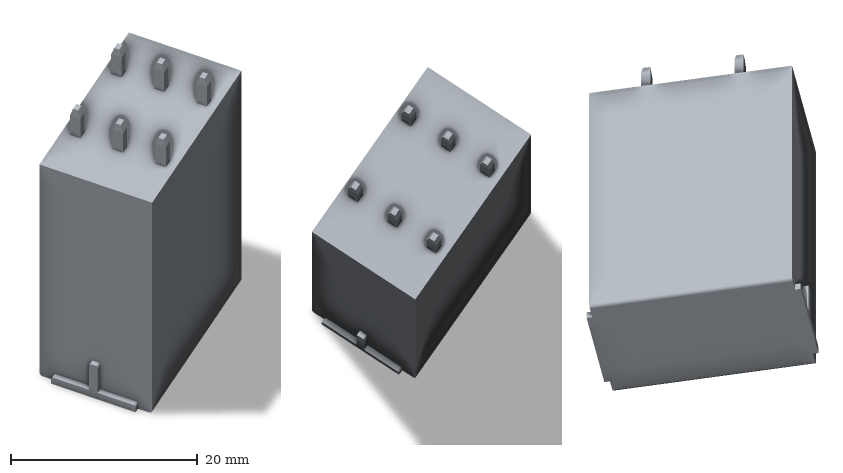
import cadquery as cq

width = 13.4
overall_depth = 23.35
overall_height = 36.0

pin_length = 4.0
pin_tip_height = 1.0
pin_width = 1.22
pin_depth = 1.0
pin_tip_width = 0.6
pin_tip_depth = 0.83
pin_pitch_x = 5.08
pin_pitch_y = 10.2
pin_columns = 3
pin_rows = 2

rib_thickness = 0.6
rib_foot_width = 10.0
rib_foot_height = 1.0
rib_stem_width = 1.0
rib_height = 5.0
rib_corner_radius = 0.3

body_depth = overall_depth - 2 * rib_thickness
body_height = overall_height - pin_length
body_bottom_radius = 0.4


def make_body():
    """Housing standing on Z = 0, with its two long bottom edges rounded."""
    block = cq.Workplane("XY").box(width, body_depth, body_height, centered=(True, True, False))
    return block.faces("<Z").edges("|Y").fillet(body_bottom_radius)


def make_rib_bar(bar_width, bar_height):
    """Upright bar through the whole depth, with its two top corners rounded."""
    bar = cq.Workplane("XY").box(bar_width, overall_depth, bar_height, centered=(True, True, False))
    return bar.faces(">Z").edges("|Y").fillet(rib_corner_radius)


def make_ribs():
    """Foot and stem that stand proud of both the front and back faces."""
    foot = make_rib_bar(rib_foot_width, rib_foot_height)
    stem = make_rib_bar(rib_stem_width, rib_height)
    return foot.union(stem)


def make_pins():
    """Grid of rectangular pins with tapered tips on the top face."""
    shank_length = pin_length - pin_tip_height
    base = cq.Workplane("XY").workplane(offset=body_height)
    grid = base.rarray(pin_pitch_x, pin_pitch_y, pin_columns, pin_rows)
    shank = cq.Workplane("XY").rect(pin_width, pin_depth).extrude(shank_length)
    tip = (
        cq.Workplane("XY")
        .workplane(offset=shank_length)
        .rect(pin_width, pin_depth)
        .workplane(offset=pin_tip_height)
        .rect(pin_tip_width, pin_tip_depth)
        .loft(ruled=True)
    )
    pin = shank.union(tip).val()
    return grid.eachpoint(lambda place: pin.moved(place))


result = make_body().union(make_ribs()).union(make_pins())